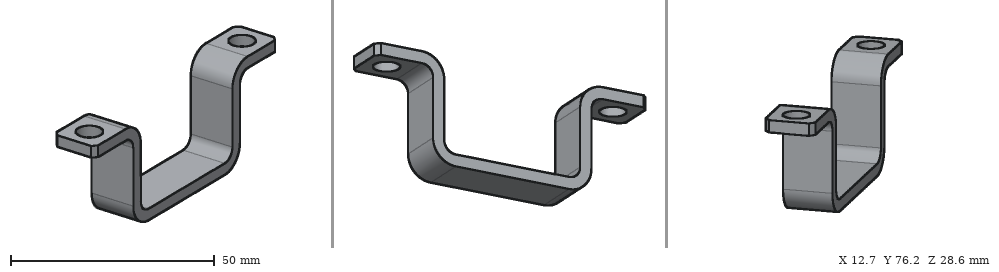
import cadquery as cq

strap_width = 12.7
overall_length = 76.2
overall_height = 28.575
thickness = 3.175
inner_bend_radius = 3.175
channel_outer_width = 44.45
hole_spacing = 63.5
hole_diameter = 6.75
corner_chamfer = 1.27

outer_bend_radius = inner_bend_radius + thickness
half_length = overall_length / 2
leg_outer = channel_outer_width / 2
leg_inner = leg_outer - thickness
flange_underside = overall_height - thickness


def make_strap():
    """Hat-shaped strip in the YZ plane, centred on X, with its base resting on Z = 0."""
    sharp_outline = [
        (-half_length, overall_height),
        (-leg_inner, overall_height),
        (-leg_inner, thickness),
        (leg_inner, thickness),
        (leg_inner, overall_height),
        (half_length, overall_height),
        (half_length, flange_underside),
        (leg_outer, flange_underside),
        (leg_outer, 0),
        (-leg_outer, 0),
        (-leg_outer, flange_underside),
        (-half_length, flange_underside),
    ]
    return (
        cq.Workplane("YZ")
        .polyline(sharp_outline)
        .close()
        .extrude(strap_width / 2, both=True)
    )


def bend_edges(strap, y, z, radius):
    """Round the mirrored pair of edges that run along X at (-y, z) and (y, z)."""
    for side in (-1, 1):
        edge = cq.selectors.NearestToPointSelector((0, side * y, z))
        strap = strap.edges("|X").edges(edge).fillet(radius)
    return strap


def cut_flange_holes(strap):
    """Drill one mounting hole through each flange."""
    return (
        strap.faces(">Z")
        .workplane(origin=(0, 0, overall_height))
        .pushPoints([(0, -hole_spacing / 2), (0, hole_spacing / 2)])
        .hole(hole_diameter, thickness)
    )


result = make_strap()
result = bend_edges(result, leg_inner, overall_height, outer_bend_radius)
result = bend_edges(result, leg_outer, flange_underside, inner_bend_radius)
result = bend_edges(result, leg_inner, thickness, inner_bend_radius)
result = bend_edges(result, leg_outer, 0, outer_bend_radius)

result = result.faces("<Y or >Y").edges("|Z").chamfer(corner_chamfer)

result = cut_flange_holes(result)